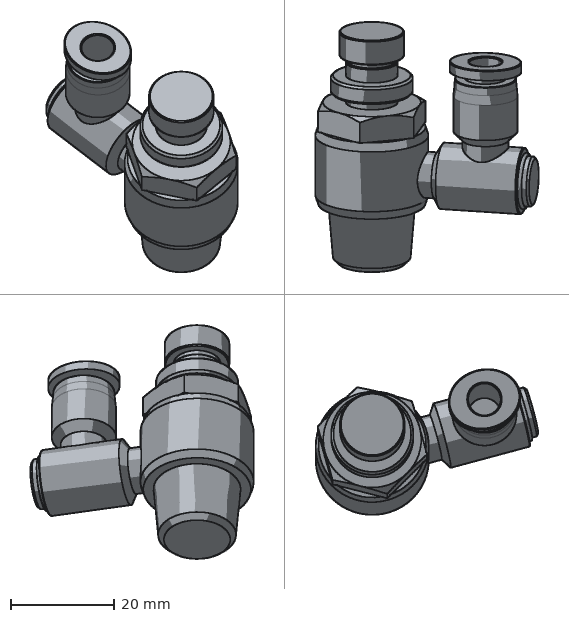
import cadquery as cq
import math

body_radius = 11.0
body_end_radius = 10.45
body_bottom = 12.05
body_top = 27.55
body_bevel_height = 1.7

thread_top_radius = 8.45
thread_tip_radius = 7.55
thread_bevel = 1.15

hex_across_flats = 19.0
hex_top = 32.55
hex_bevel_angle = math.radians(30)

stem_radius = 5.05
stem_top = 40.9
stem_bevel = 0.2

locknut_radius = 8.0
locknut_bottom = 34.45
locknut_top = 38.0
locknut_bevel = 0.45

knob_neck_radius = 4.6
knob_radius = 6.3
knob_bottom = 41.95
knob_top = 47.0
knob_bevel = 0.25

arm_axis_height = 18.5
arm_radius = 6.5
arm_rim_bevel = 0.2
arm_outer_x = -30.05
arm_inner_x = -14.05
arm_neck_radius = 4.5
arm_neck_x = -12.8

ring_radius = 5.5
ring_outer_x = -30.8
plug_radius = 4.95
plug_end_x = -32.2
plug_bevel = 0.45

connector_x = -22.55
connector_neck_radius = arm_neck_radius
connector_cone_bottom = 26.4
connector_radius = 6.25
connector_cone_top = 28.2
connector_draft_bottom = 35.4
connector_shoulder = 37.3
connector_shoulder_radius = 6.05
connector_top = 38.9
connector_top_radius = 5.95
connector_top_bevel = 0.15

collar_neck_radius = 3.95
collar_bottom = 40.3
collar_top = 42.3
collar_length = 14.0
collar_width = 11.85
collar_bevel = 0.2

tube_hole_radius = 3.15
tube_hole_mouth_bevel = 0.25


def turned(points, axis_x=0):
    """Solid of revolution about the vertical axis at axis_x from (radius, height) points."""
    section = cq.Workplane("XZ", origin=(axis_x, 0, 0)).polyline(points).close()
    return section.revolve(360, (0, 0), (0, 1))


def bevelled_disc(radius, bottom, top, bevel):
    """Round disc on the Z axis with both rims chamfered."""
    disc = cq.Workplane("XY").workplane(offset=bottom).circle(radius).extrude(top - bottom)
    return disc.edges("%CIRCLE").chamfer(bevel)


def make_column():
    """Tapered thread, body, stem and knob neck turned in one profile."""
    return turned([
        (0, 0),
        (thread_tip_radius - thread_bevel, 0),
        (thread_tip_radius, thread_bevel),
        (thread_top_radius, body_bottom),
        (body_end_radius, body_bottom),
        (body_radius, body_bottom + body_bevel_height),
        (body_radius, body_top - body_bevel_height),
        (body_end_radius, body_top),
        (stem_radius, body_top),
        (stem_radius, stem_top - stem_bevel),
        (stem_radius - stem_bevel, stem_top),
        (knob_neck_radius, stem_top),
        (knob_neck_radius, knob_bottom),
        (0, knob_bottom),
    ])


def make_hexagon():
    """Hexagon with corners on the Y axis, its top corners cut by a cone."""
    flat_radius = hex_across_flats / 2
    corner_radius = flat_radius / math.cos(math.pi / 6)
    corner_drop = (corner_radius - flat_radius) * math.tan(hex_bevel_angle)
    hexagon = (
        cq.Workplane("XY")
        .workplane(offset=body_top)
        .transformed(rotate=(0, 0, 90))
        .polygon(6, 2 * corner_radius)
        .extrude(hex_top - body_top)
    )
    cone = turned([
        (0, body_top),
        (corner_radius, body_top),
        (corner_radius, hex_top - corner_drop),
        (flat_radius, hex_top),
        (0, hex_top),
    ])
    return hexagon.intersect(cone)


def make_arm():
    """Side arm, end plug and the round-section ring between them, turned about the X direction."""
    ring_section_radius = (arm_outer_x - ring_outer_x) / 2
    ring_centre_radius = ring_radius - ring_section_radius
    section = (
        cq.Workplane("XZ", origin=(0, 0, arm_axis_height))
        .moveTo(plug_end_x, 0)
        .lineTo(plug_end_x, plug_radius - plug_bevel)
        .lineTo(plug_end_x + plug_bevel, plug_radius)
        .lineTo(ring_outer_x, plug_radius)
        .lineTo(ring_outer_x, ring_centre_radius)
        .threePointArc(
            (ring_outer_x + ring_section_radius, ring_radius),
            (arm_outer_x, ring_centre_radius),
        )
        .lineTo(arm_outer_x, arm_radius - arm_rim_bevel)
        .lineTo(arm_outer_x + arm_rim_bevel, arm_radius)
        .lineTo(arm_inner_x, arm_radius)
        .lineTo(arm_neck_x, arm_neck_radius)
        .lineTo(0, arm_neck_radius)
        .lineTo(0, 0)
        .close()
    )
    return section.revolve(360, (0, 0), (1, 0))


def make_connector():
    """Round connector barrel rising from the arm axis to the collar."""
    return turned([
        (0, arm_axis_height),
        (connector_neck_radius, arm_axis_height),
        (connector_neck_radius, connector_cone_bottom),
        (connector_radius, connector_cone_top),
        (connector_radius, connector_draft_bottom),
        (connector_shoulder_radius, connector_shoulder),
        (connector_top_radius, connector_top - connector_top_bevel),
        (connector_top_radius - connector_top_bevel, connector_top),
        (collar_neck_radius, connector_top),
        (collar_neck_radius, collar_bottom),
        (0, collar_bottom),
    ], axis_x=connector_x)


def make_release_collar():
    """Elliptical release collar, longer along X, with a chamfered top rim."""
    return (
        cq.Workplane("XY", origin=(connector_x, 0, collar_bottom))
        .ellipse(collar_length / 2, collar_width / 2)
        .extrude(collar_top - collar_bottom)
        .faces(">Z")
        .edges()
        .chamfer(collar_bevel)
    )


def make_tube_hole():
    """Blind tube hole ending where the connector starts to taper, with a bevelled mouth."""
    return turned([
        (0, connector_cone_top),
        (tube_hole_radius, connector_cone_top),
        (tube_hole_radius, collar_top - tube_hole_mouth_bevel),
        (tube_hole_radius + tube_hole_mouth_bevel, collar_top),
        (0, collar_top),
    ], axis_x=connector_x)


result = (
    make_column()
    .union(make_hexagon())
    .union(bevelled_disc(locknut_radius, locknut_bottom, locknut_top, locknut_bevel))
    .union(bevelled_disc(knob_radius, knob_bottom, knob_top, knob_bevel))
    .union(make_arm())
    .union(make_connector())
    .union(make_release_collar())
    .cut(make_tube_hole())
)